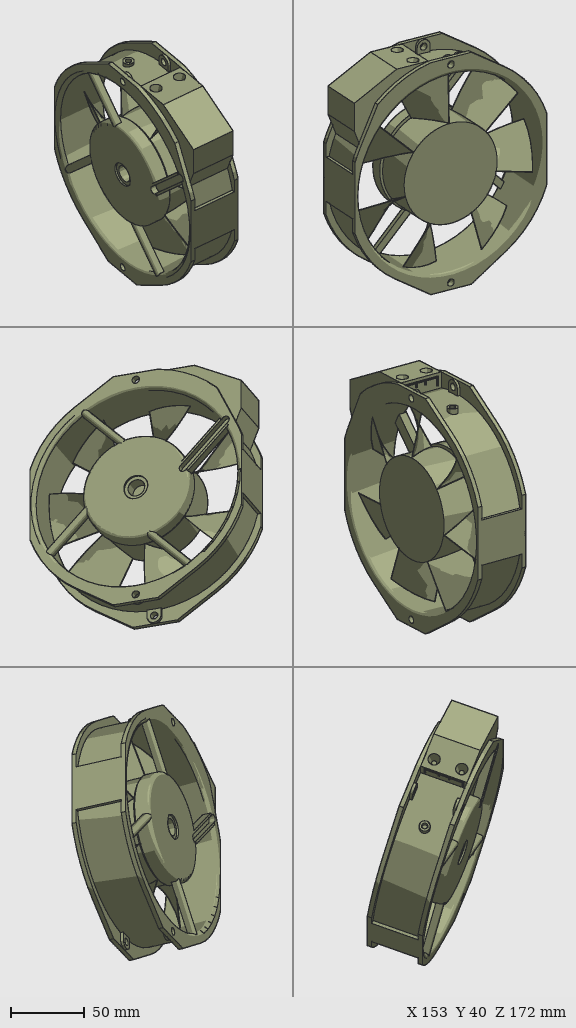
import cadquery as cq
import math


HALF_WIDTH = 76.5
HALF_HEIGHT = 86.0
DEPTH = 40.0
FRONT = -DEPTH / 2
FLANGE_THICKNESS = 3.3
INNER_DEPTH = DEPTH - 2 * FLANGE_THICKNESS

FLANGE_RADIUS = 81.0
EAR_HALF_WIDTH = 16.2
EAR_RADIUS = math.hypot(EAR_HALF_WIDTH, HALF_HEIGHT)
EAR_ANGLE = math.degrees(math.atan2(HALF_HEIGHT, EAR_HALF_WIDTH))
SHOULDER_ANGLE = 48.1
TANGENT_ANGLE = math.degrees(math.acos(FLANGE_RADIUS / EAR_RADIUS))

BORE_RADIUS = 73.1
WALL = 3.0
DRUM_RADIUS = BORE_RADIUS + WALL
LIP_RADIUS = 2.8
SIDE_BLOCK_HALF_HEIGHT = 16.5
SIDE_BLOCK_INNER_X = 74.0

MOUNT_RADIUS = 2.5
MOUNT_OFFSET = 80.8
TAB_RADIUS = HALF_HEIGHT - MOUNT_OFFSET
TAB_THICKNESS = 2.0

BOX_LEFT = EAR_HALF_WIDTH
BOX_TOP_END = 41.3
BOX_RIGHT = 75.2
BOX_RIGHT_TOP = 68.8
BOX_RIGHT_BOTTOM = 48.0
BOX_FOOT = (68.3, 30.8)
SCREW_X = 24.0
SCREW_Y = 10.0
SCREW_RADIUS = 4.1
SCREW_TIP_RADIUS = 1.7
SCREW_DEPTH = 6.9

JOINT_HALF_WIDTH = 14.3
JOINT_TOP = 83.5
JOINT_BOTTOM = 76.4
JOINT_WIDTH = 1.0
JOINT_DEPTH = 0.9
TICK_Y = 3.8
TICK_BOTTOM = 79.5

BOSS_X = -20.0
BOSS_TOP = 76.4
BOSS_RADIUS = 3.8
BOSS_HOLE_RADIUS = 2.0
BOSS_HOLE_DEPTH = 3.3
BOSS_ROOT = 71.9

HUB_RADIUS = 38.5
HUB_DEPTH = 10.8
HUB_ROUNDING = 2.5
SHAFT_RADIUS = 6.0
SHAFT_RECESS_RADIUS = 8.6
SHAFT_RECESS_DEPTH = 1.4

SPOKE_OFFSET = 18.2
SPOKE_WIDTH = 5.5
SPOKE_DEPTH = 5.2
SPOKE_START = 30.8
SPOKE_END = 72.2
SPOKE_ANGLES = (135, 225, 315)

CHANNEL_ANGLE = 45
CHANNEL_WIDTH = 8.8
CHANNEL_DEPTH = 6.2
GROOVE_WIDTH = 5.3
GROOVE_DEPTH = 4.5
GROOVE_END_RADIUS = 2.5
GROOVE_START = 27.5
GROOVE_END = 76.4

BLADE_COUNT = 7
ROTOR_RADIUS = 37.2
ROTOR_GAP = 1.4
ROTOR_BACK = 19.6
BLADE_TIP_RADIUS = 72.2
FIRST_BLADE_ANGLE = 78.2
BLADE_THICKNESS = 0.5
BLADE_SECTIONS = (
    (34.4, 6.4, 6.4, -8.3, 19.3),
    (54.2, 13.6, 12.5, -3.5, 15.5),
    (74.0, 18.5, 18.5, 1.4, 11.9),
)


def polar(radius, angle):
    a = math.radians(angle)
    return (radius * math.cos(a), radius * math.sin(a))


def xz_prism(sketch_y, depth, draw):
    """Prism drawn in X and Z, from Y = sketch_y to sketch_y + depth."""
    return draw(cq.Workplane("XZ", origin=(0, sketch_y, 0))).extrude(-depth)


def disc(radius, y, depth):
    return xz_prism(y, depth, lambda w: w.circle(radius))


def block(x0, x1, y0, y1, z0, z1):
    return cq.Workplane("XY").box(x1 - x0, y1 - y0, z1 - z0, centered=False).translate((x0, y0, z0))


def flange(y):
    """Flange plate: straight ears, tangent flanks and round sides cut flat at the full width."""
    side_z = math.sqrt(FLANGE_RADIUS**2 - HALF_WIDTH**2)
    touch_angle = EAR_ANGLE - TANGENT_ANGLE
    touch = polar(FLANGE_RADIUS, touch_angle)
    side_angle = math.degrees(math.asin(side_z / FLANGE_RADIUS))
    middle = polar(FLANGE_RADIUS, (touch_angle + side_angle) / 2)
    shoulder = polar(EAR_RADIUS, SHOULDER_ANGLE)
    shoulder_touch_angle = SHOULDER_ANGLE - TANGENT_ANGLE
    shoulder_touch = polar(FLANGE_RADIUS, shoulder_touch_angle)

    def outline(w):
        return (
            w.moveTo(-EAR_HALF_WIDTH, HALF_HEIGHT)
            .lineTo(EAR_HALF_WIDTH, HALF_HEIGHT)
            .threePointArc(polar(EAR_RADIUS, (EAR_ANGLE + SHOULDER_ANGLE) / 2), shoulder)
            .lineTo(*shoulder_touch)
            .threePointArc(
                polar(FLANGE_RADIUS, (shoulder_touch_angle + side_angle) / 2), (HALF_WIDTH, side_z)
            )
            .lineTo(HALF_WIDTH, -side_z)
            .threePointArc((middle[0], -middle[1]), (touch[0], -touch[1]))
            .lineTo(EAR_HALF_WIDTH, -HALF_HEIGHT)
            .lineTo(-EAR_HALF_WIDTH, -HALF_HEIGHT)
            .lineTo(-touch[0], -touch[1])
            .threePointArc((-middle[0], -middle[1]), (-HALF_WIDTH, -side_z))
            .lineTo(-HALF_WIDTH, side_z)
            .threePointArc((-middle[0], middle[1]), (-touch[0], touch[1]))
            .close()
        )

    return xz_prism(y, FLANGE_THICKNESS, outline)


def side_block(side):
    block_x = sorted((side * SIDE_BLOCK_INNER_X, side * HALF_WIDTH))
    return block(*block_x, FRONT, -FRONT, -SIDE_BLOCK_HALF_HEIGHT, SIDE_BLOCK_HALF_HEIGHT)


def mounting_tabs(side):
    """Round-ended tabs on the inner faces of both flanges, at the top (1) or bottom (-1)."""
    half_depth = INNER_DEPTH / 2
    tabs = disc(TAB_RADIUS, -half_depth, INNER_DEPTH).translate((0, 0, side * MOUNT_OFFSET))
    z_range = sorted((side * (DRUM_RADIUS - WALL / 2), side * MOUNT_OFFSET))
    tabs = tabs.union(block(-TAB_RADIUS, TAB_RADIUS, -half_depth, half_depth, *z_range))
    inner_y = half_depth - TAB_THICKNESS
    return tabs.cut(block(-HALF_WIDTH, HALF_WIDTH, -inner_y, inner_y, -HALF_HEIGHT, HALF_HEIGHT))


def terminal_box():
    return xz_prism(
        -INNER_DEPTH / 2,
        INNER_DEPTH,
        lambda w: w.polyline(
            [
                (BOX_LEFT, BORE_RADIUS - WALL),
                (BOX_LEFT, HALF_HEIGHT),
                (BOX_TOP_END, HALF_HEIGHT),
                (BOX_RIGHT, BOX_RIGHT_TOP),
                (BOX_RIGHT, BOX_RIGHT_BOTTOM),
                BOX_FOOT,
            ]
        ).close(),
    )


def screw_hole(y):
    """Tapered blind hole in the top of the terminal box."""
    cone = cq.Solid.makeCone(
        SCREW_RADIUS,
        SCREW_TIP_RADIUS,
        SCREW_DEPTH,
        cq.Vector(SCREW_X, y, HALF_HEIGHT),
        cq.Vector(0, 0, -1),
    )
    return cq.Workplane(cone)


def cover_joint():
    """Bracket-shaped groove with two ticks in the left face of the terminal box."""
    x0 = BOX_LEFT
    x1 = BOX_LEFT + JOINT_DEPTH
    joint = block(x0, x1, -JOINT_HALF_WIDTH, JOINT_HALF_WIDTH, JOINT_TOP - JOINT_WIDTH, JOINT_TOP)
    leg_y = JOINT_HALF_WIDTH - JOINT_WIDTH / 2
    for y, bottom in ((leg_y, JOINT_BOTTOM), (TICK_Y, TICK_BOTTOM)):
        for side in (-1, 1):
            y0 = side * y - JOINT_WIDTH / 2
            joint = joint.union(block(x0, x1, y0, y0 + JOINT_WIDTH, bottom, JOINT_TOP))
    return joint


def earth_boss():
    return (
        cq.Workplane("XY", origin=(BOSS_X, 0, BOSS_ROOT))
        .circle(BOSS_RADIUS)
        .extrude(BOSS_TOP - BOSS_ROOT)
    )


def earth_hole():
    return (
        cq.Workplane("XY", origin=(BOSS_X, 0, BOSS_TOP))
        .circle(BOSS_HOLE_RADIUS)
        .extrude(-BOSS_HOLE_DEPTH)
    )


def fixed_hub():
    return disc(HUB_RADIUS, FRONT, HUB_DEPTH).faces("<Y").edges().fillet(HUB_ROUNDING)


def bar(start, end, width, depth):
    """Straight bar along X, below the axis by the spoke offset, flush with the front."""
    z_range = (-SPOKE_OFFSET - width / 2, -SPOKE_OFFSET + width / 2)
    return block(start, end, FRONT, FRONT + depth, *z_range)


def turned(shape, angle):
    """Turns a shape around the fan axis, from +X toward +Z."""
    return shape.rotate((0, 0, 0), (0, 1, 0), -angle)


def spoke():
    """Bar along X with a half-round front."""
    radius = SPOKE_WIDTH / 2
    back = FRONT + SPOKE_DEPTH
    return (
        cq.Workplane("YZ", origin=(SPOKE_START, 0, -SPOKE_OFFSET))
        .moveTo(back, -radius)
        .lineTo(FRONT + radius, -radius)
        .threePointArc((FRONT, 0), (FRONT + radius, radius))
        .lineTo(back, radius)
        .close()
        .extrude(SPOKE_END - SPOKE_START)
    )


def groove():
    """Round-ended groove for the wires, along the channel and into the hub and the flange."""
    return bar(GROOVE_START, GROOVE_END, GROOVE_WIDTH, GROOVE_DEPTH).edges("|Y").fillet(GROOVE_END_RADIUS)


def make_frame():
    bore = disc(BORE_RADIUS, FRONT, DEPTH)
    body = disc(DRUM_RADIUS, FRONT, DEPTH)
    for y in (FRONT, INNER_DEPTH / 2):
        body = body.union(flange(y))
    for side in (-1, 1):
        body = body.union(side_block(side)).union(mounting_tabs(side))
    body = body.union(terminal_box()).union(earth_boss())
    body = body.cut(bore)
    for end_face in ("<Y", ">Y"):
        body = body.faces(end_face).edges(cq.selectors.RadiusNthSelector(0)).fillet(LIP_RADIUS)

    for side in (-1, 1):
        body = body.cut(disc(MOUNT_RADIUS, FRONT, DEPTH).translate((0, 0, side * MOUNT_OFFSET)))
        body = body.cut(screw_hole(side * SCREW_Y))
    body = body.cut(cover_joint()).cut(earth_hole())

    body = body.union(fixed_hub())
    for angle in SPOKE_ANGLES:
        body = body.union(turned(spoke(), angle))
    channel = bar(SPOKE_START, SPOKE_END, CHANNEL_WIDTH, CHANNEL_DEPTH)
    body = body.union(turned(channel, CHANNEL_ANGLE)).cut(turned(groove(), CHANNEL_ANGLE))
    body = body.cut(disc(SHAFT_RECESS_RADIUS, FRONT, SHAFT_RECESS_DEPTH))
    return body.cut(disc(SHAFT_RADIUS, FRONT, HUB_DEPTH))


def blade_section(distance, lead_reach, trail_reach, lead_y, trail_y):
    """Thin slanted section, in the plane square to the blade at a distance from the axis."""
    return (
        cq.Workplane("YZ", origin=(distance, 0, 0))
        .moveTo(lead_y, -lead_reach)
        .lineTo(lead_y + BLADE_THICKNESS, -lead_reach)
        .lineTo(trail_y, trail_reach - BLADE_THICKNESS)
        .lineTo(trail_y, trail_reach)
        .close()
        .wires()
        .val()
    )


def blade():
    """Twisted blade along +X, trimmed to the tip radius."""
    loft = cq.Solid.makeLoft([blade_section(*section) for section in BLADE_SECTIONS])
    return cq.Workplane(loft).intersect(disc(BLADE_TIP_RADIUS, FRONT, DEPTH))


def make_impeller():
    front = FRONT + HUB_DEPTH + ROTOR_GAP
    body = disc(ROTOR_RADIUS, front, ROTOR_BACK - front)
    for i in range(BLADE_COUNT):
        body = body.union(turned(blade(), FIRST_BLADE_ANGLE + i * 360 / BLADE_COUNT))
    return body


frame = make_frame()
impeller = make_impeller()
result = cq.Compound.makeCompound([*frame.solids().vals(), *impeller.solids().vals()])